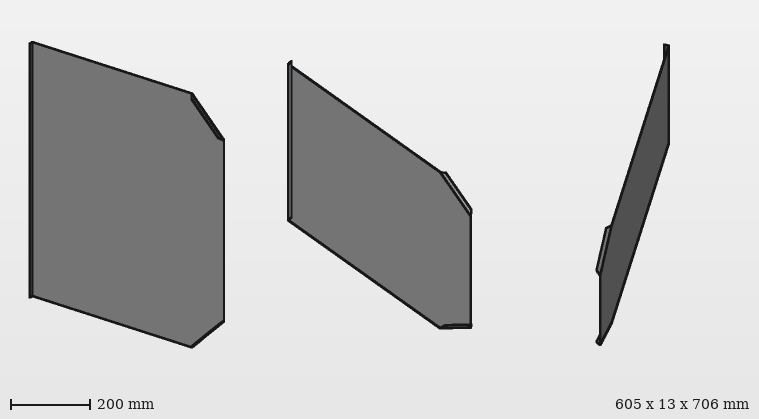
import cadquery as cq
import math

width = 605.0
depth = 13.0
height = 706.0
thickness = 1.2
corner_cut = 101.0

lip_drop = depth - thickness
corner_edge = corner_cut * math.sqrt(2)


def make_plate():
    """Flat plate with both right-hand corners cut at 45 degrees."""
    plate = cq.Workplane("XY").box(width, thickness, height, centered=False)
    plate = plate.edges("|Y and >X").chamfer(corner_cut)
    return plate.translate((0, lip_drop, 0))


def make_left_lip():
    """Straight lip along the whole left edge."""
    return cq.Workplane("XY").box(thickness, depth, height, centered=False)


def make_lower_corner_lip():
    """Lip flush with the lower cut edge, its ends mitred at 45 degrees."""
    cut_plane = cq.Plane(
        origin=(width - corner_cut, lip_drop, 0),
        xDir=(1, 0, 1),
        normal=(-1, 0, 1),
    )
    outline = [
        (0, 0),
        (corner_edge, 0),
        (corner_edge - lip_drop, -lip_drop),
        (lip_drop, -lip_drop),
    ]
    return cq.Workplane(cut_plane).polyline(outline).close().extrude(thickness)


lower_lip = make_lower_corner_lip()
upper_lip = lower_lip.mirror("XY", (0, 0, height / 2))

envelope = cq.Workplane("XY").box(width, depth, height, centered=False)
corner_lips = lower_lip.union(upper_lip).intersect(envelope)

result = make_plate().union(make_left_lip()).union(corner_lips)